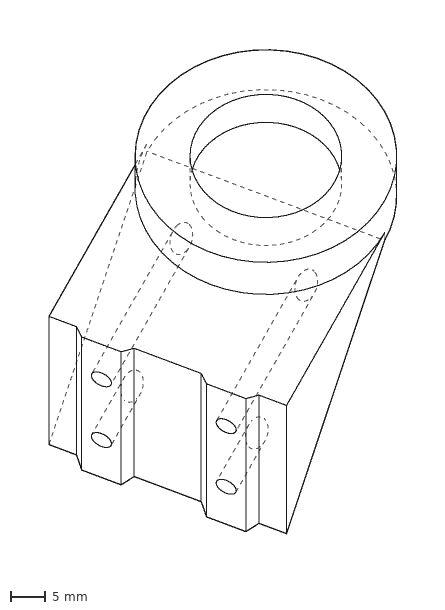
import cadquery as cq

width = 38.1
length = 54.5
height = 41.25

cup_radius = width / 2
cup_height = 10.0
pocket_diameter = 22.1
pocket_depth = 7.0

wedge_drop = 8.0
front_y = cup_radius - length

rail_depth = 1.35
rail_base_width = 9.25
rail_tip_width = 6.3
rail_spacing = 20.0

hole_diameter = 3.2
hole_drops = (16.75, 31.9)

rail_centers = (-rail_spacing / 2, rail_spacing / 2)
back_y = front_y + rail_depth


def make_cup():
    """Solid disc whose underside sits one cup height below the rim."""
    return cq.Workplane("XY").circle(cup_radius).extrude(-cup_height)


def make_wedge():
    """Triangular side profile limited to the plan outline of plate and rails."""
    side = (
        cq.Workplane("YZ")
        .polyline([
            (0, -wedge_drop),
            (0, -cup_height),
            (front_y, -height),
            (front_y, -wedge_drop),
        ])
        .close()
        .extrude(width / 2, both=True)
    )
    plan = (
        cq.Workplane("XY")
        .rect(width, -back_y)
        .extrude(-height)
        .translate((0, back_y / 2, 0))
    )
    for center in rail_centers:
        plan = plan.union(make_rail(center))
    return side.intersect(plan)


def make_rail(center):
    """Full-height vertical rail with sloping flanks."""
    return (
        cq.Workplane("XY")
        .polyline([
            (center - rail_base_width / 2, back_y),
            (center - rail_tip_width / 2, front_y),
            (center + rail_tip_width / 2, front_y),
            (center + rail_base_width / 2, back_y),
        ])
        .close()
        .extrude(-height)
    )


def make_screw_holes():
    """Cylinders along Y, passing from the rails out through the slope."""
    points = [(x, -drop) for x in rail_centers for drop in hole_drops]
    return (
        cq.Workplane("XZ", origin=(0, front_y, 0))
        .pushPoints(points)
        .circle(hole_diameter / 2)
        .extrude(front_y)
    )


pocket = cq.Workplane("XY").circle(pocket_diameter / 2).extrude(-pocket_depth)
result = make_cup().union(make_wedge()).cut(pocket).cut(make_screw_holes())